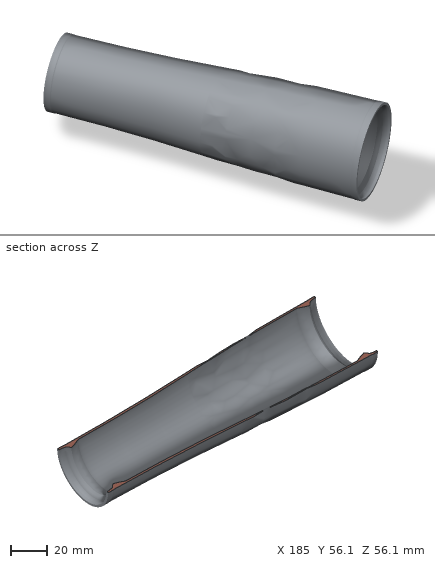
import cadquery as cq

length = 185.0
half_length = length / 2
collar_length = 3.7
collar_slope_length = 0.5
body_end = half_length - collar_length - collar_slope_length

narrow_collar_radius = 22.4
wide_collar_radius = 28.03
collar_step = 0.2

mouth_depth = 1.8
mouth_taper_depth = 4.3
throat_depth = 6.7
bore_start_depth = 13.5
bore_end = half_length - bore_start_depth

mouth_wall = 1.5
mouth_taper_wall = 2.0
throat_wall = 4.35
bore_wall = 1.7


def arc_rise_at_half_run(run, rise):
    """Rise at half the run of an arc that starts level and climbs by rise over run."""
    arc_radius = (run**2 + rise**2) / (2 * rise)
    return arc_radius - (arc_radius**2 - (run / 2) ** 2) ** 0.5


def revolve_about_axis(profile):
    """Close a profile drawn in the XZ plane and turn it about the X axis."""
    return profile.close().revolve(360, (0, 0, 0), (1, 0, 0))


def add_s_curve(profile, end, narrow_radius, wide_radius):
    """Continue from (-end, narrow_radius) to (end, wide_radius) with two arcs, level at both ends."""
    half_rise = (wide_radius - narrow_radius) / 2
    early_rise = arc_rise_at_half_run(end, half_rise)
    return (
        profile
        .threePointArc((-end / 2, narrow_radius + early_rise), (0, narrow_radius + half_rise))
        .threePointArc((end / 2, wide_radius - early_rise), (end, wide_radius))
    )


def make_outer_body():
    """Solid tube shape with a slightly raised collar at each end."""
    narrow_body_radius = narrow_collar_radius - collar_step
    wide_body_radius = wide_collar_radius - collar_step
    profile = (
        cq.Workplane("XZ")
        .moveTo(-half_length, 0)
        .lineTo(-half_length, narrow_collar_radius)
        .lineTo(-half_length + collar_length, narrow_collar_radius)
        .lineTo(-body_end, narrow_body_radius)
    )
    profile = add_s_curve(profile, body_end, narrow_body_radius, wide_body_radius)
    profile = (
        profile
        .lineTo(half_length - collar_length, wide_collar_radius)
        .lineTo(half_length, wide_collar_radius)
        .lineTo(half_length, 0)
    )
    return revolve_about_axis(profile)


def end_opening_points(collar_radius, direction):
    """Points from the end face inwards: straight mouth, slight taper, then cone to the throat."""
    steps = [
        (0, mouth_wall),
        (mouth_depth, mouth_wall),
        (mouth_taper_depth, mouth_taper_wall),
        (throat_depth, throat_wall),
    ]
    return [(direction * (half_length - depth), collar_radius - wall) for depth, wall in steps]


def make_cavity():
    """Bore following the outside, with a constricted throat near each end."""
    narrow_bore_radius = narrow_collar_radius - bore_wall
    wide_bore_radius = wide_collar_radius - bore_wall
    profile = cq.Workplane("XZ").moveTo(-half_length, 0)
    for point in end_opening_points(narrow_collar_radius, -1):
        profile = profile.lineTo(*point)
    profile = profile.lineTo(-bore_end, narrow_bore_radius)
    profile = add_s_curve(profile, bore_end, narrow_bore_radius, wide_bore_radius)
    for point in reversed(end_opening_points(wide_collar_radius, 1)):
        profile = profile.lineTo(*point)
    return revolve_about_axis(profile.lineTo(half_length, 0))


result = make_outer_body().cut(make_cavity())